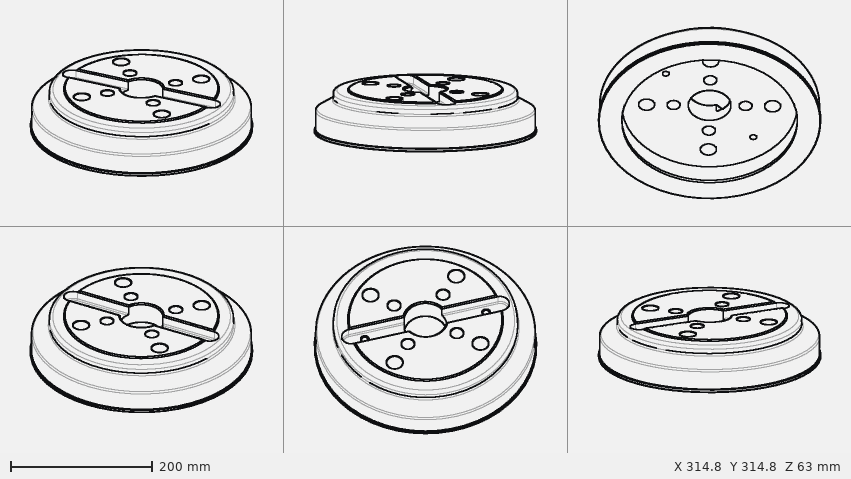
import cadquery as cq
import math

overall_diameter = 314.8
overall_height = 63.0

ring_radius = overall_diameter / 2
ring_height = 4.7
ring_bottom_chamfer = 1.0
ring_top_chamfer = 0.5

rim_radius = 155.8
neck_radius = 130.5
knee_height = 33.0
cone_angle = 30.0
pad_radius = 110.2
pad_height = 2.0
neck_top_fillet = 4.7
cone_fillet = 3.5

shelf_height = overall_height - pad_height
cone_top = knee_height + (rim_radius - neck_radius) * math.tan(math.radians(cone_angle))

web_thickness = 31.5
web_bottom = overall_height - web_thickness
cavity_radius = rim_radius - web_thickness

bore_radius = 30.2
slot_width = 25.8
slot_depth = 14.8
slot_end_center = 110.0
slot_floor_fillet = 2.0
slot_floor = overall_height - slot_depth

mount_hole_radius = 11.3
mount_hole_spacing = 126.2
clamp_hole_radius = 9.0
clamp_hole_spacing = 72.0
slot_hole_radius = 4.7
slot_hole_offset = mount_hole_spacing / math.sqrt(2)
hole_chamfer = 0.5
slot_hole_chamfer = 1.3


selector_margin = 0.3


def box_around_axis(half_width, height):
    """Selector for whatever lies in a thin square slab centred on the Z axis."""
    return cq.selectors.BoxSelector(
        (-half_width, -half_width, height - selector_margin),
        (half_width, half_width, height + selector_margin),
        boundingbox=True,
    )


def circle_edge(radius, height):
    """Selector for the circular edge of the given radius at the given height."""
    outer = box_around_axis(radius + selector_margin, height)
    inner = box_around_axis(radius - selector_margin, height)
    return outer - inner


def make_hub_blank():
    """Turned cup: rim, cone, neck and raised pad, hollow below the web."""
    profile = (
        cq.Workplane("XZ")
        .moveTo(cavity_radius, ring_height)
        .lineTo(rim_radius, ring_height)
        .lineTo(rim_radius, knee_height)
        .lineTo(neck_radius, cone_top)
        .lineTo(neck_radius, shelf_height)
        .lineTo(pad_radius, shelf_height)
        .lineTo(pad_radius - pad_height, overall_height)
        .lineTo(0, overall_height)
        .lineTo(0, web_bottom)
        .lineTo(cavity_radius, web_bottom)
        .close()
    )
    blank = profile.revolve(360, (0, 0, 0), (0, 1, 0))
    blank = blank.edges(circle_edge(neck_radius, shelf_height)).fillet(neck_top_fillet)
    blank = blank.edges(circle_edge(rim_radius, knee_height)).fillet(cone_fillet)
    return blank.edges(circle_edge(neck_radius, cone_top)).fillet(cone_fillet)


def make_bore():
    """Through bore with a 45 degree lead-in as deep as the pad."""
    bore = cq.Workplane("XY").circle(bore_radius).extrude(overall_height)
    lead_in = cq.Solid.makeCone(
        bore_radius, bore_radius + pad_height, pad_height, cq.Vector(0, 0, shelf_height)
    )
    return bore.union(lead_in)


def make_slot():
    """Round-ended key slot along X with a filleted floor and flared upper edges."""
    slot = (
        cq.Workplane("XY")
        .workplane(offset=slot_floor)
        .slot2D(2 * slot_end_center + slot_width, slot_width)
        .extrude(slot_depth)
        .faces("<Z")
        .edges()
        .fillet(slot_floor_fillet)
    )
    half_width = slot_width / 2
    flare = (
        cq.Workplane("YZ")
        .polyline([
            (-half_width, shelf_height),
            (half_width, shelf_height),
            (half_width + pad_height, overall_height),
            (-half_width - pad_height, overall_height),
        ])
        .close()
        .extrude(pad_radius, both=True)
    )
    return slot.union(flare)


def make_holes(points, radius, chamfer, top):
    """Vertical through holes at the points, chamfered where they open at height top."""
    drills = cq.Workplane("XY").pushPoints(points).circle(radius).extrude(top)
    for x, y in points:
        countersink = cq.Solid.makeCone(
            radius, radius + chamfer, chamfer, cq.Vector(x, y, top - chamfer)
        )
        drills = drills.union(countersink)
    return drills


def square_corners(spacing):
    """Corners of a square of the given side, centred on the axis."""
    half = spacing / 2
    return [(x, y) for x in (-half, half) for y in (-half, half)]


def make_hub():
    """Hub with its bore, key slot and bolt holes."""
    slot_hole_points = [(-slot_hole_offset, 0), (slot_hole_offset, 0)]
    hub = make_hub_blank().cut(make_bore()).cut(make_slot())
    hub = hub.cut(make_holes(
        square_corners(mount_hole_spacing), mount_hole_radius, hole_chamfer, overall_height))
    hub = hub.cut(make_holes(
        square_corners(clamp_hole_spacing), clamp_hole_radius, hole_chamfer, overall_height))
    return hub.cut(make_holes(slot_hole_points, slot_hole_radius, slot_hole_chamfer, slot_floor))


def make_ring():
    """Flat ring under the rim, standing slightly proud of it."""
    disc = cq.Workplane("XY").circle(ring_radius).extrude(ring_height)
    disc = disc.faces("<Z").edges().chamfer(ring_bottom_chamfer)
    disc = disc.faces(">Z").edges().chamfer(ring_top_chamfer)
    opening = cq.Workplane("XY").circle(cavity_radius).extrude(ring_height)
    return disc.cut(opening)


hub = make_hub()
ring = make_ring()

result = cq.Compound.makeCompound([hub.val(), ring.val()])